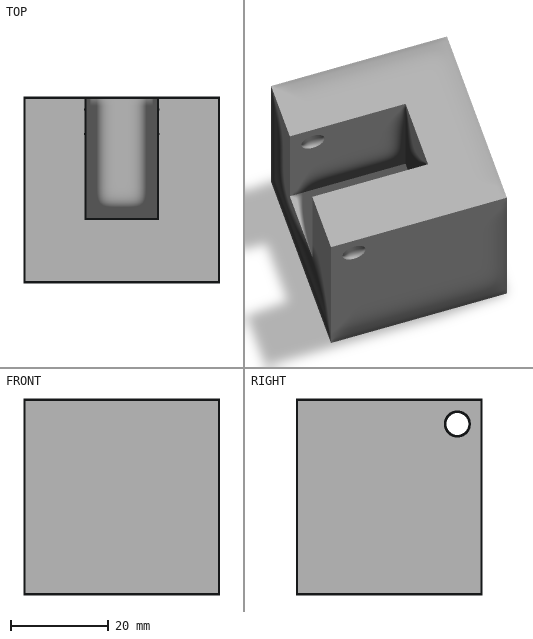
import cadquery as cq

width = 40.0
depth = 38.0
height = 40.0

slot_width = 15.0
slot_length = 25.0
slot_depth = slot_length

hole_diameter = 5.0
hole_edge_distance = 5.0


def make_block():
    return cq.Workplane("XY").box(width, depth, height)


def make_slot():
    return (
        cq.Workplane("XY")
        .box(slot_width, slot_length, slot_depth)
        .translate((0, (depth - slot_length) / 2, (height - slot_depth) / 2))
    )


def make_pin_hole():
    hole_y = depth / 2 - hole_edge_distance
    hole_z = height / 2 - hole_edge_distance
    return (
        cq.Workplane("YZ")
        .center(hole_y, hole_z)
        .circle(hole_diameter / 2)
        .extrude(width / 2, both=True)
    )


result = make_block().cut(make_slot()).cut(make_pin_hole())